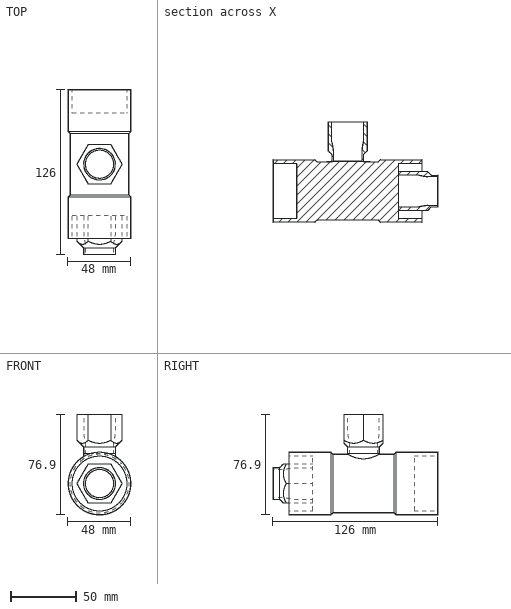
import cadquery as cq
import math

tee_length = 113.9
socket_diameter = 48.0
middle_diameter = 45.0
socket_bore = 42.0
socket_length = 32.0
shoulder = (socket_diameter - middle_diameter) / 2

adapter_length = 30.0
hex_across_flats = 30.0
hex_across_corners = hex_across_flats / math.cos(math.pi / 6)
neck_diameter = 24.5
neck_length = 5.0
neck_bore = 21.5
neck_bore_length = 7.5
taper_length = 7.4
hex_bore = 24.1

front_tip = -69.0
boss_height = 22.9
socket_depth = front_tip + adapter_length + tee_length / 2


def make_tee():
    """Solid tee with a recess in each end and a solid boss on top."""
    half = tee_length / 2
    socket_radius = socket_diameter / 2
    middle_radius = middle_diameter / 2
    bore_radius = socket_bore / 2
    socket_start = half - socket_length
    floor = half - socket_depth
    run = (
        cq.Workplane("XY")
        .moveTo(0, -floor)
        .lineTo(bore_radius, -floor)
        .lineTo(bore_radius, -half)
        .lineTo(socket_radius, -half)
        .lineTo(socket_radius, -socket_start)
        .lineTo(middle_radius, -socket_start + shoulder)
        .lineTo(middle_radius, socket_start - shoulder)
        .lineTo(socket_radius, socket_start)
        .lineTo(socket_radius, half)
        .lineTo(bore_radius, half)
        .lineTo(bore_radius, floor)
        .lineTo(0, floor)
        .close()
        .revolve(360, (0, 0, 0), (0, 1, 0))
    )
    boss = cq.Workplane("XY").circle(neck_diameter / 2).extrude(boss_height)
    return run.union(boss, clean=False)


def make_adapter_bore():
    """Through bore that tapers from the neck out to the female hexagon end."""
    narrow_radius = neck_bore / 2
    wide_radius = hex_bore / 2
    taper_top = neck_bore_length + taper_length
    return (
        cq.Workplane("XZ")
        .moveTo(0, 0)
        .lineTo(narrow_radius, 0)
        .lineTo(narrow_radius, neck_bore_length)
        .lineTo(wide_radius, taper_top)
        .lineTo(wide_radius, adapter_length)
        .lineTo(0, adapter_length)
        .close()
        .revolve(360, (0, 0, 0), (0, 1, 0))
    )


def make_adapter():
    """Adapter standing on its neck at Z = 0, hexagon upward, corners on X."""
    neck_radius = neck_diameter / 2
    corner_radius = hex_across_corners / 2
    cone_top = neck_length + corner_radius - neck_radius
    blank = (
        cq.Workplane("XZ")
        .moveTo(0, 0)
        .lineTo(neck_radius, 0)
        .lineTo(neck_radius, neck_length)
        .lineTo(corner_radius, cone_top)
        .lineTo(corner_radius, adapter_length)
        .lineTo(0, adapter_length)
        .close()
        .revolve(360, (0, 0, 0), (0, 1, 0))
    )
    hexagon = cq.Workplane("XY").polygon(6, hex_across_corners).extrude(adapter_length)
    return blank.intersect(hexagon).cut(make_adapter_bore())


tee = make_tee()

adapter_places = [
    (0, (0, 0, boss_height)),
    (-90, (0, front_tip, 0)),
]
adapters = []
for turn, place in adapter_places:
    adapter = make_adapter().rotate((0, 0, 0), (1, 0, 0), turn).translate(place)
    adapters.append(adapter.val())

result = cq.Compound.makeCompound([tee.val(), *adapters])